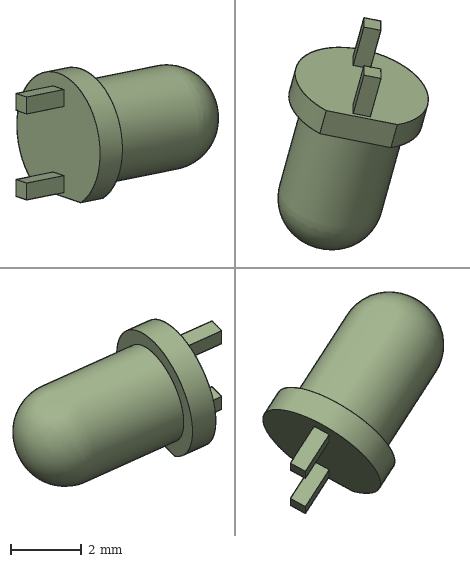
import cadquery as cq
import math

flange_radius = 1.95
flange_thickness = 0.8
flat_distance = 1.65

lens_radius = 1.5
lens_length = 4.5
nose_round = 1.4

pin_width = 0.5
pin_length = 1.33
pin_pitch = 2.54


def make_flange():
    half_flat = math.sqrt(flange_radius**2 - flat_distance**2)
    return (
        cq.Workplane("XZ")
        .moveTo(-half_flat, -flat_distance)
        .threePointArc((0, flange_radius), (half_flat, -flat_distance))
        .close()
        .extrude(-flange_thickness)
    )


def make_lens():
    base = cq.Workplane("XZ").workplane(offset=-flange_thickness)
    cylinder = base.circle(lens_radius).extrude(-lens_length)
    return cylinder.faces(">Y").edges().fillet(nose_round)


def make_pin(center_z):
    return cq.Workplane("XZ").center(0, center_z).rect(pin_width, pin_width).extrude(pin_length)


flange = make_flange()
lens = make_lens()
pins = [make_pin(side * pin_pitch / 2) for side in (-1, 1)]

result = cq.Compound.makeCompound([flange.val(), lens.val(), *[pin.val() for pin in pins]])